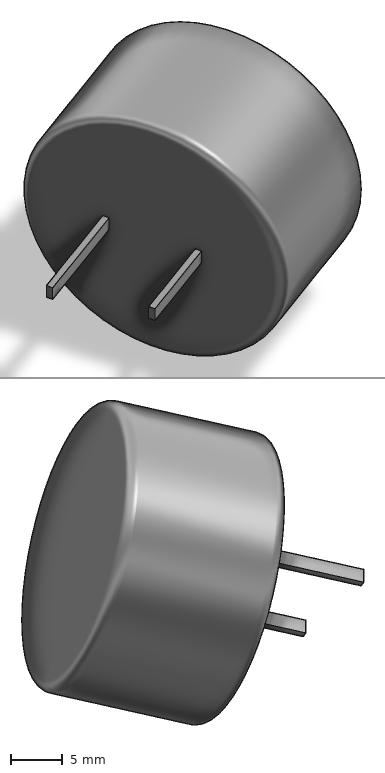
import cadquery as cq

can_diameter = 29.0
can_length = 16.5
rim_radius = 1.05

lead_spacing = 10.15
lead_width = 0.7
lead_height = 1.5
long_lead_length = 11.5
short_lead_length = 9.5


def make_can():
    """Drum with its front face on Y = 0 and both rims rounded."""
    drum = cq.Workplane("XZ").circle(can_diameter / 2).extrude(-can_length)
    return drum.faces("<Y or >Y").edges().fillet(rim_radius)


def make_lead(x_center, length):
    """Flat pin running from the lead face toward -Y."""
    return cq.Workplane("XZ").center(x_center, 0).rect(lead_width, lead_height).extrude(length)


long_lead = make_lead(-lead_spacing / 2, long_lead_length)
short_lead = make_lead(lead_spacing / 2, short_lead_length)

result = make_can().union(long_lead).union(short_lead)